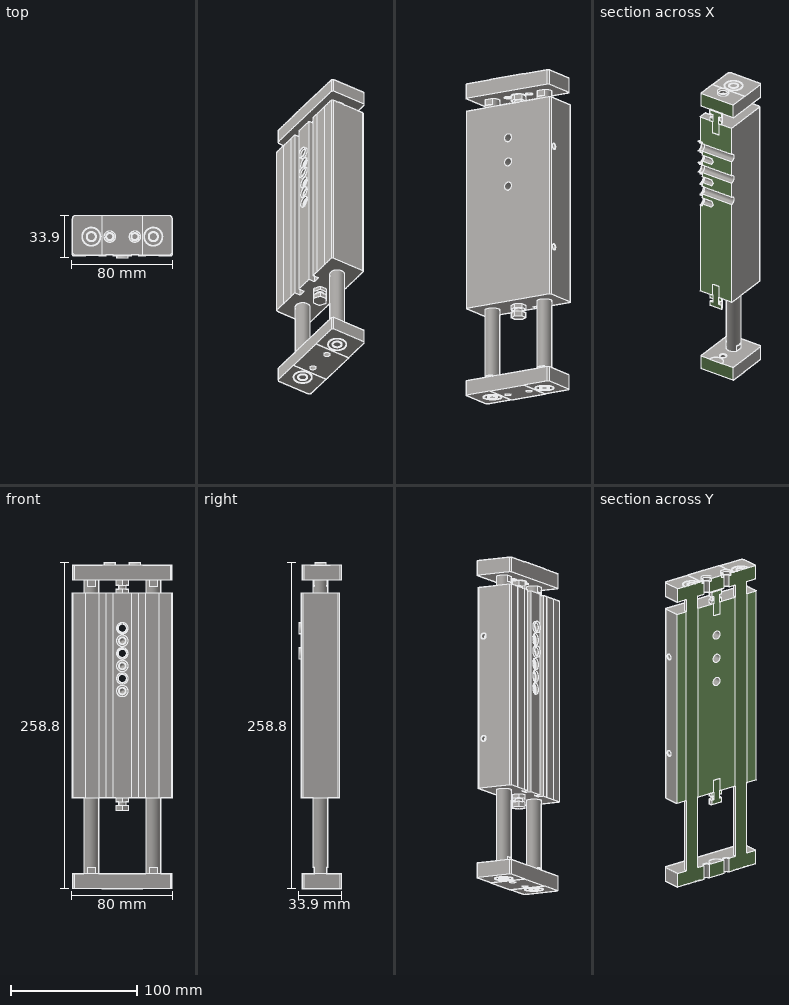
import cadquery as cq
import math


rod_diameter = 12.0
rod_offset = 24.5
flat_width = 10.0
flat_length = 5.0
rod_end_rings = [(15.0, 14.0), (8.0, 6.5)]
shallow = 0.3

plate_width = 78.7
plate_thickness = 12.0
plate_back = 16.8
plate_front = -14.5
plate_chamfer = 1.3
pad_width = 32.0
pad_height = 0.3
stop_spot_diameter = 12.0

sleeve_diameter = 9.0
sleeve_bore = 6.5
sleeve_length = 4.0
sleeve_protrusion = 1.8
sleeve_mouth = 8.8
sleeve_spacing = 20.0
sleeve_seat_depth = sleeve_length - sleeve_protrusion

thread_diameter = 6.0
thread_core = 5.0
drill_point_angle = 118
plate_hole_offset = sleeve_spacing / 2

overall_height = 258.8
upper_pad_top = overall_height - sleeve_protrusion
plate_block = plate_thickness + pad_height
lower_plate_inner = plate_block
upper_plate_inner = upper_pad_top - plate_block
stop_reach = 10.0
housing_top = upper_plate_inner - stop_reach
housing_length = 162.5
housing_bottom = housing_top - housing_length
housing_middle = housing_bottom + housing_length / 2

housing_width = 80.0
housing_front = -15.3
housing_back = 15.3
housing_chamfer_x = 0.8
housing_chamfer_y = 1.5
slot_inner_edge = 7.2
slot_width = 5.7
slot_depth = 5.2
relief_inner_edge = 18.5
relief_width = 10.9
relief_depth = 0.13
front_hole_pitch = sleeve_spacing / 2
front_hole_count = 6
top_hole_below_end = 28.0
front_thread_depth = 9.0
port_diameter = 5.0
port_core = 4.1
port_depth = 5.2
port_y = 9.8
port_spacing = 82.8

hex_width = 10.0
head_height = 4.1
nut_height = 3.0
screw_diameter = 6.0
screw_depth = 10.4


def cone_height(diameter):
    return diameter / 2 / math.tan(math.radians(drill_point_angle / 2))


def upright_block(width, front, back, bottom, height):
    """Box centred on the middle plane."""
    block = cq.Workplane("XY").box(width, back - front, height, centered=(True, False, False))
    return block.translate((0, front, bottom))


def cylinder(diameter, height, bottom=0.0):
    return cq.Workplane("XY").workplane(offset=bottom).circle(diameter / 2).extrude(height)


def cone(base, tip, height, bottom=0.0):
    return cq.Workplane(cq.Solid.makeCone(base / 2, tip / 2, height, cq.Vector(0, 0, bottom)))


def hexagon(height, bottom):
    """Hexagonal prism with corners pointing along Y."""
    corner_diameter = hex_width / math.cos(math.radians(30))
    return (
        cq.Workplane("XY").workplane(offset=bottom).transformed(rotate=(0, 0, 30))
        .polygon(6, corner_diameter).extrude(height)
    )


def drilled_hole(mouth, core, depth):
    """Blind hole cutter from Z = 0 downwards: bevelled mouth and drill point."""
    bevel = (mouth - core) / 2
    return (
        cylinder(core, depth, -depth)
        .union(cone(core, mouth, bevel, -bevel))
        .union(cone(0, core, cone_height(core), -depth - cone_height(core)))
    )


def facing_front(tool, z):
    """Turn a tool made along +Z to point out of the housing front at height z."""
    return tool.rotate((0, 0, 0), (1, 0, 0), 90).translate((0, housing_front, z))


def mirrored_in_height(body):
    """The same body at the other end, mirrored about the middle of the housing."""
    return body.mirror("XY", (0, 0, housing_middle))


front_hole_heights = [
    housing_top - top_hole_below_end - i * front_hole_pitch for i in range(front_hole_count)
]
through_hole_heights = front_hole_heights[0::2]
threaded_hole_heights = front_hole_heights[1::2]
sleeve_heights = through_hole_heights[:2]


def front_channel(width, depth):
    """Full-length channel cutter in the housing front, centred on the middle plane."""
    return upright_block(width, housing_front, housing_front + depth, housing_bottom, housing_length)


def make_housing():
    half_width = housing_width / 2
    face_edge = half_width - housing_chamfer_x
    right_half = [
        (face_edge, housing_front),
        (half_width, housing_front + housing_chamfer_y),
        (half_width, housing_back - housing_chamfer_y),
        (face_edge, housing_back),
    ]
    left_half = [(-x, y) for x, y in reversed(right_half)]
    outline = cq.Workplane("XY").workplane(offset=housing_bottom).polyline(right_half + left_half)
    housing = outline.close().extrude(housing_length)

    slot = front_channel(slot_width, slot_depth)
    relief = front_channel(relief_width, relief_depth)
    rod_bore = cylinder(rod_diameter, housing_length, housing_bottom)
    for side in (-1, 1):
        housing = housing.cut(slot.translate((side * (slot_inner_edge + slot_width / 2), 0, 0)))
        housing = housing.cut(relief.translate((side * (relief_inner_edge + relief_width / 2), 0, 0)))
        housing = housing.cut(rod_bore.translate((side * rod_offset, 0, 0)))

    sleeve_seat = cylinder(sleeve_diameter, sleeve_seat_depth, -sleeve_seat_depth)
    for z in front_hole_heights:
        housing = housing.cut(facing_front(sleeve_seat, z))
    housing_depth = housing_back - housing_front
    through_hole = cylinder(sleeve_bore, housing_depth, -housing_depth)
    for z in through_hole_heights:
        housing = housing.cut(facing_front(through_hole, z))
    threaded_hole = drilled_hole(thread_diameter, thread_core, front_thread_depth)
    for z in threaded_hole_heights:
        housing = housing.cut(facing_front(threaded_hole.translate((0, 0, -sleeve_seat_depth)), z))

    port = drilled_hole(port_diameter, port_core, port_depth).rotate((0, 0, 0), (0, 1, 0), -90)
    for side in (-1, 1):
        z = housing_middle + side * port_spacing / 2
        housing = housing.cut(port.translate((-half_width, port_y, z)))

    screw_hole = cylinder(screw_diameter, screw_depth, housing_top - screw_depth)
    return housing.cut(screw_hole).cut(mirrored_in_height(screw_hole))


def make_upper_plate():
    """End plate with its pad, holes and stop spot, at the upper end."""
    plate = upright_block(plate_width, plate_front, plate_back, upper_plate_inner, plate_thickness)
    plate = plate.edges("|Z").chamfer(plate_chamfer)
    pad = upright_block(pad_width, plate_front, plate_back, upper_plate_inner + plate_thickness, pad_height)
    plate = plate.union(pad)
    plate = plate.cut(cylinder(stop_spot_diameter, shallow, upper_plate_inner))

    bevel = (thread_diameter - thread_core) / 2
    hole = cylinder(thread_core, plate_block, upper_plate_inner)
    hole = hole.union(cone(thread_diameter, thread_core, bevel, upper_plate_inner))
    plate_face = upper_plate_inner + plate_thickness
    for side in (-1, 1):
        plate = plate.cut(hole.translate((side * plate_hole_offset, 0, 0)))
        for outer, inner in rod_end_rings:
            groove = cylinder(outer, shallow, plate_face - shallow)
            groove = groove.cut(cylinder(inner, shallow, plate_face - shallow))
            plate = plate.cut(groove.translate((side * rod_offset, 0, 0)))
    return plate


def make_rod():
    rod = cylinder(rod_diameter, upper_plate_inner - lower_plate_inner, lower_plate_inner)
    for bottom in (lower_plate_inner, upper_plate_inner - flat_length):
        kept = upright_block(rod_diameter, -flat_width / 2, flat_width / 2, bottom, flat_length)
        rod_end = upright_block(rod_diameter, -rod_diameter, rod_diameter, bottom, flat_length)
        rod = rod.cut(rod_end.cut(kept))
    return rod


def make_frame():
    """Both end plates and both rods, one moving body."""
    sleeve_seat = cylinder(sleeve_diameter, sleeve_seat_depth, upper_pad_top - sleeve_seat_depth)
    upper_plate = make_upper_plate()
    lower_plate = upper_plate.mirror("XY", (0, 0, (upper_plate_inner + lower_plate_inner) / 2))
    frame = upper_plate.union(lower_plate)
    for side in (-1, 1):
        frame = frame.union(make_rod().translate((side * rod_offset, 0, 0)))
        frame = frame.cut(sleeve_seat.translate((side * plate_hole_offset, 0, 0)))
    return frame


def make_sleeve():
    """Centring sleeve along Z; Z = 0 is the face that it is pressed into."""
    sleeve = cylinder(sleeve_diameter, sleeve_length, -sleeve_seat_depth)
    bevel = (sleeve_mouth - sleeve_bore) / 2
    sleeve = sleeve.cut(cylinder(sleeve_bore, sleeve_length, -sleeve_seat_depth))
    return sleeve.cut(cone(sleeve_bore, sleeve_mouth, bevel, sleeve_protrusion - bevel))


def make_upper_screw():
    head = hexagon(head_height, upper_plate_inner - head_height)
    shank_bottom = housing_top - screw_depth
    shank = cylinder(screw_diameter, stop_reach - head_height + screw_depth, shank_bottom)
    return head.union(shank)


def make_upper_nut():
    nut = hexagon(nut_height, housing_top)
    return nut.cut(cylinder(screw_diameter, nut_height, housing_top))


housing = make_housing()
frame = make_frame()
front_sleeves = [facing_front(make_sleeve(), z) for z in sleeve_heights]
plate_sleeves = [
    make_sleeve().translate((side * plate_hole_offset, 0, upper_pad_top)) for side in (-1, 1)
]
stop_screws = [make_upper_screw(), mirrored_in_height(make_upper_screw())]
lock_nuts = [make_upper_nut(), mirrored_in_height(make_upper_nut())]

bodies = [housing, frame, *front_sleeves, *plate_sleeves, *stop_screws, *lock_nuts]
result = cq.Compound.makeCompound([body.val() for body in bodies])